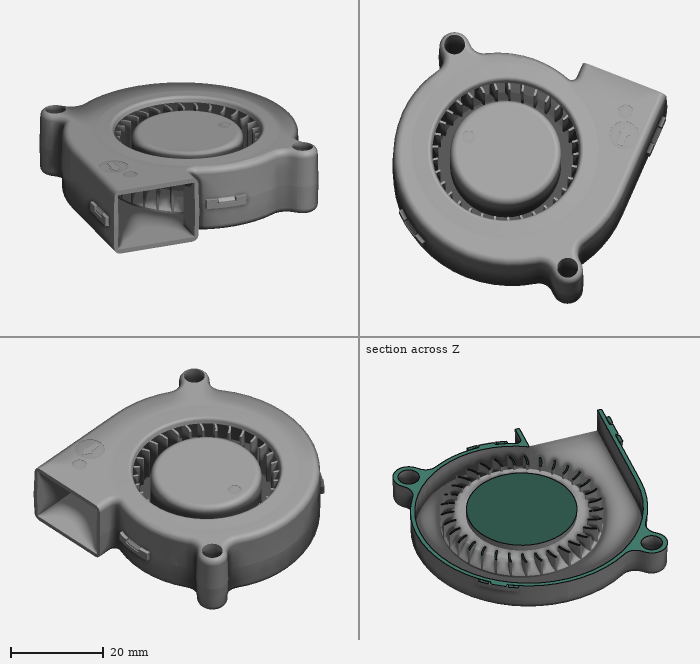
import cadquery as cq
import math


TOTAL_HEIGHT = 15.3
RAISE = 0.15
PARTING_Z = 7.0
UPPER_HEIGHT = TOTAL_HEIGHT - RAISE - PARTING_Z
LOWER_HEIGHT = PARTING_Z - RAISE
TOP_Z = PARTING_Z + UPPER_HEIGHT

LOWER_LEFT_RADIUS = 26.0
UPPER_LEFT_RADIUS = 25.85
RIGHT_RADIUS = 22.55
LEFT_CENTER_Y = -1.45
TOP_CENTER_X = UPPER_LEFT_RADIUS - LOWER_LEFT_RADIUS
RIGHT_CENTER_Y = LEFT_CENTER_Y + UPPER_LEFT_RADIUS - RIGHT_RADIUS
OUTLET_BOTTOM_Y = LEFT_CENTER_Y - LOWER_LEFT_RADIUS
OUTLET_X = 25.4
OUTLET_TOP_Y = -7.45
OUTLET_CORNER_FILLET = 1.0
DUCT_CORNER_REACH = 3.15
DUCT_CORNER_MARGIN = 0.5
PLATE_THICKNESS = 0.5
DRAFT = 1.5
EDGE_FILLET = 1.5
WALL = 1.05

EAR_CENTERS = [(18.25, 19.5), (-19.95, -22.85)]
EAR_RADIUS = 3.45
EAR_ARM = 7.9
EAR_ROOT_OFFSET = 3.7
EAR_ROOT_REACH = 3.4
EAR_FILLET = 2.9
EAR_HOLE_RADIUS = 2.25

THROAT_RADIUS = 15.9
THROAT_TAPER = 19
INLET_RADIUS = 16.9
INLET_FILLET = 0.8
CONE_RADIUS = 20.25
PAD_RADIUS = 14.85

TAB_WIDTH = 9.0
TAB_THICKNESS = 0.8
TAB_BOTTOM_Z = 5.95
TAB_TOP_Z = 8.0
NOTCH_WIDTH = 4.2
CATCH_WIDTH = 3.7
CATCH_REACH = 0.65
CATCH_SLOPE = 45
TAB_PLACES = [(0, 0), (149, 0), (-90, 18.1)]
TAB_NEAR_RADIUS = 18.4
TAB_FAR_RADIUS = 31.55

MARK_DEPTH = 0.1
OUTLET_MARK = (18.15, -20.7)
OUTLET_MARK_RADIUS = 1.6
ARROW_CENTER = (13.0, -22.45)
ARROW_DISC_RADIUS = 3.2
ARROW_LENGTH = 4.95
ARROW_HEAD_LENGTH = 2.1
ARROW_HEAD_WIDTH = 2.5
ARROW_SHAFT_WIDTH = 1.25

FLOOR_Z = RAISE + WALL
HUB_RADIUS = 12.05
HUB_TOP_Z = 14.35
HUB_FILLET = 1.4
HUB_MARK_Y = 8.65
HUB_MARK_RADIUS = 1.4
DISC_TOP_Z = 5.5
DISC_TOP_RADIUS = 15.05
DISC_EDGE_Z = 3.1
DISC_BOTTOM_Z = 2.65
BLADE_COUNT = 33
BLADE_INNER_RADIUS = 14.7
BLADE_OUTER_RADIUS = 17.7
BLADE_SWEEP = 0.95
BLADE_THICKNESS = 0.45
BLADE_TOP_Z = 13.1
BLADE_START_ANGLE = 270


def volute(growth, outlet_x):
    """Volute outline moved outward by growth, with the outlet duct ending at outlet_x."""
    diagonal = math.sqrt(0.5)
    lower_left_radius = LOWER_LEFT_RADIUS + growth
    upper_left_radius = UPPER_LEFT_RADIUS + growth
    right_radius = RIGHT_RADIUS + growth
    bottom_y = OUTLET_BOTTOM_Y - growth
    top_y = OUTLET_TOP_Y + growth
    corner_x = TOP_CENTER_X + math.sqrt(right_radius**2 - (top_y - RIGHT_CENTER_Y) ** 2)
    upper_left_middle = (
        TOP_CENTER_X - upper_left_radius * diagonal,
        LEFT_CENTER_Y + upper_left_radius * diagonal,
    )
    right_middle = (
        TOP_CENTER_X + right_radius * diagonal,
        RIGHT_CENTER_Y + right_radius * diagonal,
    )
    return (
        cq.Workplane("XY")
        .moveTo(outlet_x, top_y)
        .lineTo(outlet_x, bottom_y)
        .lineTo(0, bottom_y)
        .threePointArc(
            (-lower_left_radius * diagonal, LEFT_CENTER_Y - lower_left_radius * diagonal),
            (-lower_left_radius, LEFT_CENTER_Y),
        )
        .threePointArc(upper_left_middle, (TOP_CENTER_X, LEFT_CENTER_Y + upper_left_radius))
        .threePointArc(right_middle, (corner_x, top_y))
        .close()
    )


def ear(center):
    """Round-ended arm from the volute to one mounting hole."""
    length = math.hypot(*center)
    angle = math.degrees(math.atan2(center[1], center[0]))
    return (
        cq.Workplane("XY")
        .moveTo(length - EAR_ARM, -EAR_RADIUS)
        .lineTo(length, -EAR_RADIUS)
        .threePointArc((length + EAR_RADIUS, 0), (length, EAR_RADIUS))
        .lineTo(length - EAR_ARM, EAR_RADIUS)
        .close()
        .extrude(PLATE_THICKNESS)
        .rotate((0, 0, 0), (0, 0, 1), angle)
    )


def planform():
    """Thin plate with the full outline of the housing: volute, duct and ears."""
    plate = volute(0, OUTLET_X).extrude(PLATE_THICKNESS)
    for center in EAR_CENTERS:
        plate = plate.union(ear(center))
    for center in EAR_CENTERS:
        plate = plate.edges(ear_root_box(center)).fillet(EAR_FILLET)
    return plate.edges(duct_corner_box()).fillet(OUTLET_CORNER_FILLET)


def half_block(height):
    """Solid half housing, rising with draft from its parting face at Z = 0."""
    block = planform().faces("<Z").wires().toPending().extrude(height, combine=False, taper=DRAFT)

    block = block.faces(">Z").edges("not(>X)").fillet(EDGE_FILLET)
    return block.cut(
        cq.Workplane("XY").pushPoints(EAR_CENTERS).circle(EAR_HOLE_RADIUS).extrude(height)
    )


def ear_root_box(center):
    """Selector for the two upright edges where an ear leaves the volute."""
    scale = 1 - EAR_ROOT_OFFSET / math.hypot(*center)
    x = center[0] * scale
    y = center[1] * scale
    return cq.selectors.BoxSelector(
        (x - EAR_ROOT_REACH, y - EAR_ROOT_REACH, 0),
        (x + EAR_ROOT_REACH, y + EAR_ROOT_REACH, PLATE_THICKNESS),
    )


def duct_corner_box():
    """Selector for the upright edge where the duct leaves the volute."""
    x = TOP_CENTER_X + RIGHT_RADIUS
    return cq.selectors.BoxSelector(
        (x - DUCT_CORNER_REACH, OUTLET_TOP_Y - DUCT_CORNER_MARGIN, 0),
        (x, OUTLET_TOP_Y + DUCT_CORNER_MARGIN, PLATE_THICKNESS),
    )


def cavity(height):
    """Inside of a half housing, open at the parting face and at the outlet."""
    return volute(-WALL, OUTLET_X + WALL).extrude(height - WALL)


def radial_box(place, width, bottom_z, top_z):
    """Box across the housing wall, facing a tab's direction."""
    angle, shift = place
    return (
        cq.Workplane("XY")
        .box(TAB_FAR_RADIUS - TAB_NEAR_RADIUS, width, top_z - bottom_z, centered=(False, True, False))
        .translate((TAB_NEAR_RADIUS, shift, bottom_z))
        .rotate((0, 0, 0), (0, 0, 1), angle)
    )


def tab(place):
    """Snap tab that follows the wall, with a notch in its upper edge."""
    band = (
        volute(TAB_THICKNESS, OUTLET_X)
        .extrude(TAB_TOP_Z - TAB_BOTTOM_Z)
        .translate((0, 0, TAB_BOTTOM_Z))
    )
    return band.intersect(radial_box(place, TAB_WIDTH, TAB_BOTTOM_Z, TAB_TOP_Z)).cut(
        radial_box(place, NOTCH_WIDTH, PARTING_Z, TAB_TOP_Z)
    )


def catch(place):
    """Wedge that fills a tab's notch: upright below, sloping back to the wall above."""
    slope_z = TAB_TOP_Z - CATCH_REACH
    upright = (
        volute(CATCH_REACH, OUTLET_X).extrude(slope_z - PARTING_Z).translate((0, 0, PARTING_Z))
    )
    slope = (
        volute(CATCH_REACH, OUTLET_X).extrude(CATCH_REACH, taper=CATCH_SLOPE).translate((0, 0, slope_z))
    )
    return upright.union(slope).intersect(radial_box(place, CATCH_WIDTH, PARTING_Z, TAB_TOP_Z))


def recess(center, radius, top_z):
    """Shallow round mark cut down from top_z."""
    return cq.Workplane("XY", origin=(*center, top_z)).circle(radius).extrude(-MARK_DEPTH)


def direction_arrow():
    """Arrow along +X that stands in its round recess."""
    tail_x = -ARROW_LENGTH / 2
    tip_x = ARROW_LENGTH / 2
    neck_x = tip_x - ARROW_HEAD_LENGTH
    return (
        cq.Workplane("XY", origin=(*ARROW_CENTER, TOP_Z))
        .moveTo(tail_x, -ARROW_SHAFT_WIDTH / 2)
        .lineTo(neck_x, -ARROW_SHAFT_WIDTH / 2)
        .lineTo(neck_x, -ARROW_HEAD_WIDTH / 2)
        .lineTo(tip_x, 0)
        .lineTo(neck_x, ARROW_HEAD_WIDTH / 2)
        .lineTo(neck_x, ARROW_SHAFT_WIDTH / 2)
        .lineTo(tail_x, ARROW_SHAFT_WIDTH / 2)
        .close()
        .extrude(-MARK_DEPTH)
    )


def inlet_cone():
    """Low cone around the inlet, rising towards the throat."""
    return (
        cq.Workplane("XZ")
        .moveTo(0, TOP_Z - WALL)
        .lineTo(CONE_RADIUS, TOP_Z - WALL)
        .lineTo(CONE_RADIUS, TOP_Z)
        .lineTo(INLET_RADIUS, TOTAL_HEIGHT)
        .lineTo(0, TOTAL_HEIGHT)
        .close()
        .revolve(360, (0, 0, 0), (0, 1, 0))
    )


def make_upper_housing(block):
    """Upper shell with catches, inlet and top marks."""
    housing = block
    for place in TAB_PLACES:
        housing = housing.union(catch(place))
    housing = housing.cut(cavity(UPPER_HEIGHT).translate((0, 0, PARTING_Z)))
    housing = housing.union(inlet_cone())

    throat = (
        cq.Workplane("XY", origin=(0, 0, TOP_Z - WALL))
        .circle(THROAT_RADIUS)
        .extrude(WALL + RAISE, taper=-THROAT_TAPER)
    )
    housing = housing.cut(throat)
    housing = housing.faces(">Z").edges("%CIRCLE").fillet(INLET_FILLET)

    housing = housing.cut(recess(OUTLET_MARK, OUTLET_MARK_RADIUS, TOP_Z))
    return housing.cut(recess(ARROW_CENTER, ARROW_DISC_RADIUS, TOP_Z).cut(direction_arrow()))


def make_lower_housing(upper_block):
    """Lower shell with snap tabs that reach up outside the upper shell."""
    housing = half_block(LOWER_HEIGHT).mirror("XY").translate((0, 0, PARTING_Z))
    for place in TAB_PLACES:
        housing = housing.union(tab(place))
    housing = housing.cut(upper_block)
    housing = housing.cut(cavity(LOWER_HEIGHT).mirror("XY").translate((0, 0, PARTING_Z)))
    return housing.union(cq.Workplane("XY").circle(PAD_RADIUS).extrude(RAISE))


def blade(angle):
    """Upright blade that starts radially and curves sideways on its way out."""
    half = BLADE_THICKNESS / 2
    middle_radius = (BLADE_INNER_RADIUS + BLADE_OUTER_RADIUS) / 2
    middle_y = BLADE_SWEEP / 4
    return (
        cq.Workplane("XY", origin=(0, 0, DISC_BOTTOM_Z))
        .moveTo(BLADE_INNER_RADIUS, -half)
        .threePointArc((middle_radius, middle_y - half), (BLADE_OUTER_RADIUS, BLADE_SWEEP - half))
        .lineTo(BLADE_OUTER_RADIUS, BLADE_SWEEP + half)
        .threePointArc((middle_radius, middle_y + half), (BLADE_INNER_RADIUS, half))
        .close()
        .extrude(BLADE_TOP_Z - DISC_BOTTOM_Z)
        .rotate((0, 0, 0), (0, 0, 1), angle)
    )


def make_impeller():
    """Hub on the lower housing floor, base disc with a sloping edge, and a ring of blades."""
    impeller = (
        cq.Workplane("XY", origin=(0, 0, FLOOR_Z))
        .circle(HUB_RADIUS)
        .extrude(HUB_TOP_Z - FLOOR_Z)
        .faces(">Z")
        .edges()
        .fillet(HUB_FILLET)
    )
    disc = (
        cq.Workplane("XZ")
        .moveTo(0, DISC_BOTTOM_Z)
        .lineTo(BLADE_OUTER_RADIUS, DISC_BOTTOM_Z)
        .lineTo(BLADE_OUTER_RADIUS, DISC_EDGE_Z)
        .lineTo(DISC_TOP_RADIUS, DISC_TOP_Z)
        .lineTo(0, DISC_TOP_Z)
        .close()
        .revolve(360, (0, 0, 0), (0, 1, 0))
    )
    impeller = impeller.union(disc)
    for index in range(BLADE_COUNT):
        impeller = impeller.union(blade(BLADE_START_ANGLE + index * 360 / BLADE_COUNT))
    return impeller.cut(recess((0, HUB_MARK_Y), HUB_MARK_RADIUS, HUB_TOP_Z))


upper_block = half_block(UPPER_HEIGHT).translate((0, 0, PARTING_Z))
upper_housing = make_upper_housing(upper_block)
lower_housing = make_lower_housing(upper_block)
impeller = make_impeller()

result = cq.Compound.makeCompound(
    [upper_housing.solids().val(), lower_housing.solids().val(), impeller.solids().val()]
)